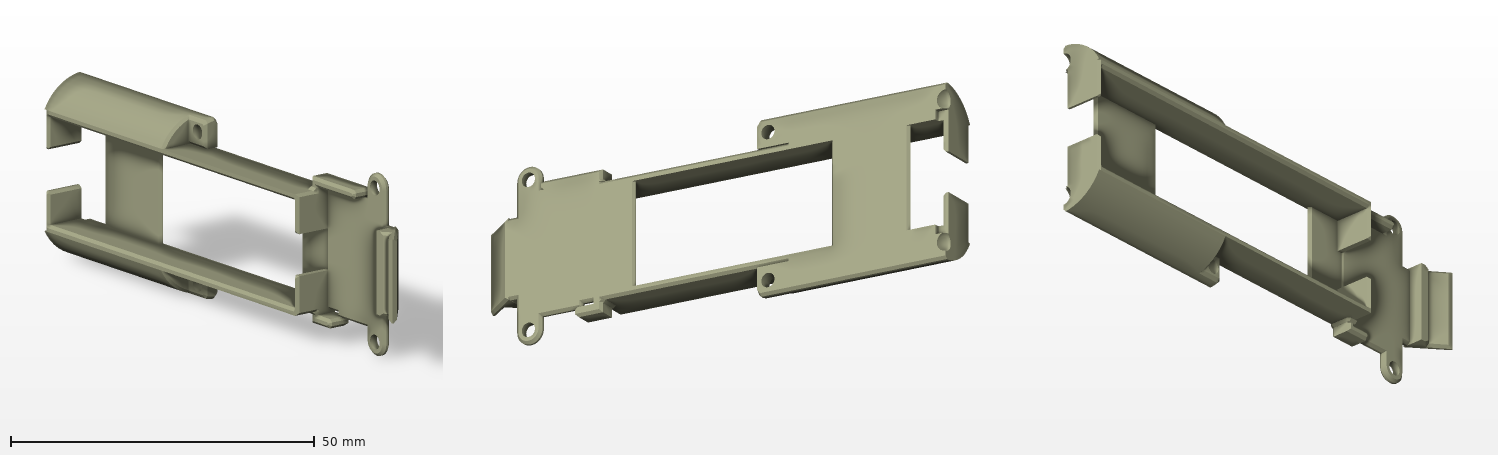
import cadquery as cq
import math


chamfer = 0.49
screw_hole_radius = 1.25

tray_length = 67.2
tray_depth = 8.0
opening_half = 9.2
rail_thickness = 1.2
rail_outer = opening_half + rail_thickness
lip_thickness = 2 * chamfer
lip_gap_half = 3.6

sheet_thickness = 1.0
sheet_chamfer = 0.45
front_sheet_start = 7.0
front_sheet_end = 21.9
rear_sheet_start = 59.4
end_notch_half = 10.9
end_notch_length = 2 * lip_thickness

half_width = 15.6
grip_half_width = 15.5
grip_length = 30.0
grip_flat_depth = sheet_thickness
grip_middle_z = 13.8
grip_middle_depth = 5.1
recess_radius = 1.66
recess_z = 12.485
ear_shoulder_end = 31.5
ear_end = 36.0
ear_pad_depth = 2.6
ear_hole_x = 33.9
ear_hole_z = 13.0

plate_thickness = 1.4
plate_lower_edge = 11.1
lug_x = 79.65
lug_radius = 2.4
lug_z = half_width - lug_radius
lug_left = lug_x - lug_radius
lug_right = lug_x + lug_radius
cable_notch_end = 69.45
cable_notch_edge = 10.3

hook_left = 65.7
hook_inner = 10.9
hook_outer = 12.5
hook_depth = 3.9
upper_hook_end = lug_left
lower_hook_end = 70.8
foot_slope = 0.48

tab_half = 7.2
tab_start = 83.4
tab_bend_x = 84.1
tab_tip_x = 89.5
rib_depth = 4.0
rib_flat_end = 85.1
tab_valley_x = 85.9
tab_depth = 5.5
tab_tip_back_depth = 4.6
tab_slope = math.tan(math.radians(39.5))
tab_inner_tip_x = 88.4


def block(x_start, x_end, depth_start, depth_end, z_start, z_end):
    """Axis-aligned box between two depths."""
    return cq.Workplane("XY").box(
        x_end - x_start, depth_end - depth_start, z_end - z_start, centered=False
    ).translate((x_start, -depth_end, z_start))


def mirrored(shape):
    """The same shape on the other side of Z = 0."""
    return shape.mirror("XY")


def round_hole(x, z, radius):
    """Cutter that runs from the back through the full tray depth."""
    return cq.Workplane("XZ").center(x, z).circle(radius).extrude(tray_depth)


def make_ring():
    """Tray walls, with the lips cut back in the middle of each end."""
    ring = block(0, tray_length, 0, tray_depth, -rail_outer, rail_outer)
    ring = ring.edges(">Y and (>Z or <Z)").chamfer(chamfer)
    ring = ring.edges(">X and |Y").chamfer(chamfer)
    ring = ring.edges("<Y and (<X or >X)").chamfer(chamfer)

    opening_length = tray_length - 2 * lip_thickness
    opening_centre = tray_length / 2
    opening = (
        cq.Workplane("XZ")
        .center(opening_centre, 0)
        .rect(opening_length, 2 * opening_half)
        .extrude(tray_depth)
    )
    flare = (
        cq.Workplane("XZ", origin=(opening_centre, chamfer - tray_depth, 0))
        .rect(opening_length, 2 * opening_half)
        .extrude(chamfer, taper=-45)
    )
    ring = ring.cut(opening).cut(flare)

    lip_gap = block(0, tray_length, 0, tray_depth, -lip_gap_half, lip_gap_half)
    gap_flare = (
        cq.Workplane("XZ", origin=(opening_centre, chamfer - tray_depth, 0))
        .rect(tray_length + 2 * chamfer, 2 * lip_gap_half)
        .extrude(chamfer, taper=-45)
    )
    left_corner_break = (
        cq.Workplane("XZ")
        .polyline([
            (lip_thickness - chamfer, -lip_gap_half),
            (lip_thickness, -lip_gap_half - chamfer),
            (lip_thickness, lip_gap_half + chamfer),
            (lip_thickness - chamfer, lip_gap_half),
        ])
        .close()
        .extrude(tray_depth)
    )
    return ring.cut(lip_gap).cut(gap_flare).cut(left_corner_break)


def make_sheets():
    """Thin sheets across the tray back; their free edges are broken on both faces."""
    front_sheet = block(
        front_sheet_start, front_sheet_end, 0, sheet_thickness, -rail_outer + chamfer, rail_outer - chamfer
    )
    front_sheet = front_sheet.edges("|Z").chamfer(sheet_chamfer)
    rear_sheet = block(
        rear_sheet_start, tray_length, 0, sheet_thickness, -rail_outer + chamfer, rail_outer - chamfer
    )
    rear_sheet = rear_sheet.edges("|Z and <X").chamfer(sheet_chamfer)
    return front_sheet.union(rear_sheet)


def grip_section(x_start, x_end):
    """Rounded section beside the upper rail, between two X positions."""
    return (
        cq.Workplane("YZ", origin=(x_start, 0, 0))
        .moveTo(0, rail_outer)
        .lineTo(0, grip_half_width - chamfer)
        .lineTo(-chamfer, grip_half_width)
        .lineTo(-grip_flat_depth, grip_half_width)
        .threePointArc((-grip_middle_depth, grip_middle_z), (-tray_depth, rail_outer))
        .close()
        .extrude(x_end - x_start)
    )


def make_grip():
    """Upper grip; its lower edge fills the back chamfer of the rail."""
    joint = block(0, grip_length, 0, rail_thickness, rail_outer - chamfer, rail_outer)
    return grip_section(0, grip_length).union(joint)


def make_end_recess():
    """Ball-shaped hollow in the end of the upper grip."""
    return cq.Workplane("XY").sphere(recess_radius).translate((0, 0, recess_z))


def make_plate():
    """Rear plate with screw lugs; edges are broken on its free outline only."""
    plate = (
        cq.Workplane("XZ")
        .moveTo(tray_length, -cable_notch_edge)
        .lineTo(cable_notch_end, -cable_notch_edge)
        .lineTo(cable_notch_end, -plate_lower_edge)
        .lineTo(lug_left, -plate_lower_edge)
        .lineTo(lug_left, -lug_z)
        .threePointArc((lug_x, -half_width), (lug_right, -lug_z))
        .lineTo(lug_right, -tab_half)
        .lineTo(tab_start, -tab_half)
        .lineTo(tab_start, tab_half)
        .lineTo(lug_right, tab_half)
        .lineTo(lug_right, lug_z)
        .threePointArc((lug_x, half_width), (lug_left, lug_z))
        .lineTo(lug_left, hook_inner)
        .lineTo(tray_length, hook_inner)
        .close()
        .extrude(plate_thickness)
    )

    def is_free(edge):
        centre = edge.Center()
        joins_tray = centre.x < tray_length + chamfer
        joins_tab = centre.x > tab_start - chamfer
        joins_hook = abs(centre.z - hook_inner) < chamfer
        return not (joins_tray or joins_tab or joins_hook)

    plate = plate.faces("<Y").edges().filter(is_free).chamfer(chamfer)
    plate = plate.faces(">Y").edges().filter(is_free).chamfer(chamfer)
    for side in (-1, 1):
        plate = plate.cut(round_hole(lug_x, side * lug_z, screw_hole_radius))
    return plate


def make_hook(end_x):
    """Upper L-shaped wall: a leg standing on the rail and an arm along the plate."""
    arm = block(hook_left, end_x, 0, hook_depth, hook_inner, hook_outer)
    arm = arm.edges(">X and |Y").chamfer(chamfer)
    leg = block(hook_left, tray_length, 0, hook_depth, rail_outer - chamfer, hook_outer)
    hook = arm.union(leg).clean()
    hook = hook.faces("<Y").edges().chamfer(chamfer)
    hook = hook.edges(">Y and (>Z or <X)").chamfer(chamfer)

    foot_front = hook_depth + chamfer
    foot = block(hook_left - chamfer, tray_length, 0, foot_front, rail_outer, rail_outer + chamfer)
    foot = foot.edges("|Z and <X").chamfer(chamfer)
    foot = foot.faces(">Z").edges("not (>X or >Y)").chamfer(foot_slope)
    return hook.union(foot)


def make_tab():
    """Latch tab: a rib across its root and a sloped tongue."""
    valley_depth = tab_depth - (tab_inner_tip_x - tab_valley_x) * tab_slope
    tab = (
        cq.Workplane("XY")
        .polyline([
            (tab_start, 0),
            (tab_bend_x, 0),
            (tab_tip_x, -tab_tip_back_depth),
            (tab_tip_x, -tab_depth),
            (tab_inner_tip_x, -tab_depth),
            (tab_valley_x, -valley_depth),
            (rib_flat_end, -rib_depth),
            (tab_start, -rib_depth),
        ])
        .close()
        .extrude(2 * tab_half)
        .translate((0, 0, -tab_half))
    )

    def is_sloped_side(edge):
        box = edge.BoundingBox()
        return box.zlen < chamfer and box.xlen > chamfer and box.ylen > chamfer

    return tab.edges().filter(is_sloped_side).chamfer(chamfer)


def make_frame():
    """Tray, grips, plate, hooks and latch tab as one solid."""
    frame = make_ring().union(make_sheets())
    grip = make_grip()
    frame = frame.union(grip).union(mirrored(grip))
    frame = frame.union(make_plate()).union(make_tab())
    frame = frame.union(make_hook(upper_hook_end))
    frame = frame.union(mirrored(make_hook(lower_hook_end)))
    frame = frame.cut(block(0, end_notch_length, 0, sheet_thickness, -end_notch_half, end_notch_half))
    recess = make_end_recess()
    return frame.cut(recess).cut(mirrored(recess))


def make_upper_ear():
    """Screw ear: a shoulder that ends the grip and a thin pad with a screw hole."""
    shoulder = grip_section(grip_length, ear_shoulder_end)
    rounded = grip_section(grip_length, ear_end)
    pad = rounded.intersect(block(grip_length, ear_end, 0, ear_pad_depth, rail_outer, grip_half_width))
    pad = pad.faces(">X").edges("not (<Z or <Y or >Y)").chamfer(chamfer)
    pad = pad.faces("<Y").edges("not <X").chamfer(chamfer)
    shoulder = shoulder.faces(">X").edges("not(<Z or >Y)").chamfer(chamfer)
    ear = shoulder.union(pad)
    return ear.cut(round_hole(ear_hole_x, ear_hole_z, screw_hole_radius))


frame = make_frame()
upper_ear = make_upper_ear()
ears = [upper_ear, mirrored(upper_ear)]

result = cq.Compound.makeCompound([frame.val(), *[ear.val() for ear in ears]])